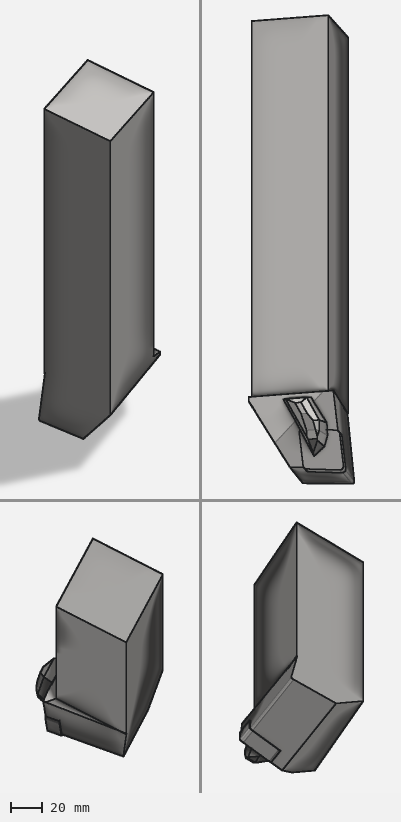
import cadquery as cq
import math

total_length = 301.3
shank_size = 50.0

head_depth = 57.3
head_top = 53.0
shoulder_angle = 17.0
blank_overhang = 18.0
blank_bottom = -3.0
head_corner_radius = 1.5
relief_top = 43.7
relief_angle = 30.0

insert_side = 26.0
insert_thickness = 9.5
nose_radius = 2.5
nose_reach = 10.2
nose_depth = 50.5
insert_overhang = 1.0
lead_angle = 5.0
nose_half_angle = (90.0 - 2 * lead_angle) / 2

clamp_root = 51.2
clamp_bevel_start = 64.2
clamp_peak = 68.0
clamp_draft = 15.5
clamp_bevel_draft = 48.0
clamp_end = 49.0
clamp_nose = 8.5

rake_slope = math.tan(math.radians(6.0))
nose_cut = nose_radius * (
    math.sin(math.radians(45.0)) / math.sin(math.radians(nose_half_angle)) - 1
)
rake_plane = cq.Plane(
    origin=(-nose_reach - nose_cut, nose_depth, -nose_cut),
    xDir=(0, rake_slope, 1),
    normal=(-rake_slope, 1, -rake_slope),
)
flank_edges = cq.selectors.ParallelDirSelector(rake_plane.zDir)


def rhombus_prism(inset, side, depth):
    """Rhombus below the rake face, with its corner moved in so both cutting edges sit at the inset."""
    along = math.cos(math.radians(lead_angle))
    across = math.sin(math.radians(lead_angle))
    start = inset / (along - across)
    far = start + side * (along + across)
    points = [
        (start, start),
        (start + side * along, start + side * across),
        (far, far),
        (start + side * across, start + side * along),
    ]
    return cq.Workplane(rake_plane).polyline(points).close().extrude(-depth)


def side_extrusion(profile):
    """Extrude a (Y, Z) profile across the whole width of the tool."""
    start = cq.Workplane("YZ", origin=(-blank_overhang, 0, 0))
    return start.polyline(profile).close().extrude(blank_overhang + shank_size)


def make_insert():
    return rhombus_prism(0, insert_side, insert_thickness).edges(flank_edges).fillet(nose_radius)


def make_shank():
    base = cq.Workplane("XY", origin=(0, 0, head_top))
    return base.rect(shank_size, shank_size, centered=False).extrude(total_length - head_top)


def make_relief():
    """Wedge that slopes the right side of the head and follows the tilt of the flanks."""
    along = head_depth * math.cos(math.radians(relief_angle))
    across = head_depth * math.sin(math.radians(relief_angle))
    plane = cq.Plane(
        origin=(shank_size, 0, relief_top),
        xDir=rake_plane.xDir,
        normal=rake_plane.zDir,
    )
    wedge = [(along, across), (-along, -across), (-along, across)]
    return cq.Workplane(plane).polyline(wedge).close().extrude(2 * head_depth, both=True)


def make_head():
    shoulder_slope = math.tan(math.radians(shoulder_angle))
    front_profile = [
        (0, head_top),
        (shank_size, head_top),
        (shank_size, blank_bottom),
        (-blank_overhang, blank_bottom),
        (-blank_overhang, head_top - blank_overhang * shoulder_slope),
    ]
    side_profile = [
        (0, blank_bottom),
        (head_depth, blank_bottom),
        (head_depth, head_top - (head_depth - shank_size) * shoulder_slope),
        (shank_size, head_top),
        (0, head_top),
    ]
    front = cq.Workplane("XZ").polyline(front_profile).close().extrude(-head_depth)
    flanks = rhombus_prism(insert_overhang, 2 * head_depth, 2 * head_depth)
    flanks = flanks.edges(flank_edges).fillet(head_corner_radius)
    return front.intersect(side_extrusion(side_profile)).intersect(flanks).cut(make_relief())


def make_clamp():
    """Drafted finger with a bevelled rim, its back falling away towards the insert."""
    outline = [
        (30.0, clamp_end),
        (8.0, clamp_end),
        (-1.5, 30.7),
        (-1.5, 22.3),
        (1.0, 15.0),
        (8.5, clamp_nose),
    ]
    body = cq.Workplane("XZ", origin=(0, clamp_root, 0)).polyline(outline).close()
    body = body.extrude(clamp_root - clamp_bevel_start, taper=clamp_draft)
    rim = body.faces(">Y").wires().toPending().workplane(origin=(0, clamp_bevel_start, 0))
    rim = rim.extrude(clamp_peak - clamp_bevel_start, taper=clamp_bevel_draft, combine=False)

    back_profile = [
        (clamp_root, 5.5),
        (63.5, 17.8),
        (66.0, 23.2),
        (clamp_peak, 33.8),
        (clamp_peak, clamp_end),
        (clamp_root, clamp_end),
    ]
    return body.union(rim).intersect(side_extrusion(back_profile))


insert = make_insert()
holder = make_shank().union(make_head()).union(make_clamp()).cut(insert)

result = cq.Compound.makeCompound([holder.solids().val(), insert.solids().val()])